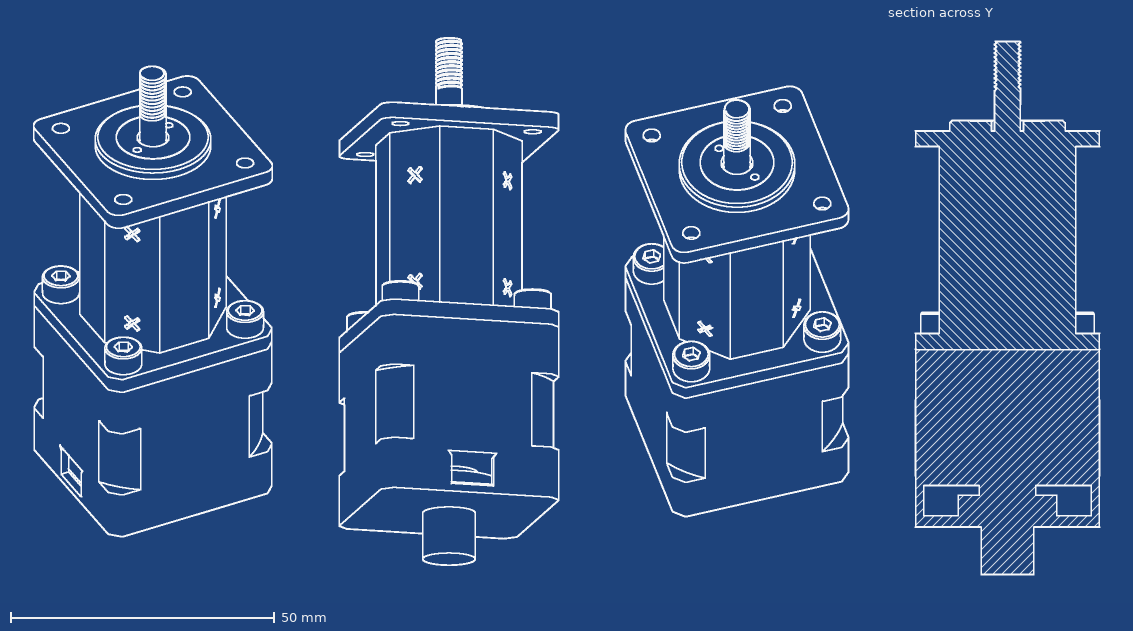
import cadquery as cq
import math

WIDTH = 35.0
REAR_BOSS_LENGTH = 9.0
MOTOR_TOP = 33.8
ADAPTER_TOP = MOTOR_TOP + 3.0
STAGE_SEAMS = (46.4, 59.5)
FLANGE_BOTTOM = 72.3
FLANGE_TOP = FLANGE_BOTTOM + 3.0
PILOT_TOP = FLANGE_TOP + 2.0
SHAFT_TOP = 92.3

CAP_CHAMFER = 2.0
CAP_EDGE_ROUND = 0.5
REAR_CAP_TOP = 9.8
FRONT_CAP_BOTTOM = 24.1
STATOR_BOTTOM = 7.9
STATOR_TOP = 26.2
STATOR_DIAMETER = 42.0
REAR_BOSS_DIAMETER = 10.0

WINDOW_WIDTH = 8.3
WINDOW_SILL = 1.5
WINDOW_FLARE_WIDTH = 9.5
WINDOW_FLARE_BOTTOM = 7.1
CAP_WALL = 1.6
CAVITY_FLOOR = 2.2
CAVITY_CORNER_RADIUS = 6.0
BEARING_HOUSING_DIAMETER = 18.8
BEARING_HOUSING_TOP = 6.1
BEARING_NECK_DIAMETER = 10.8

RING_WIDTH = 26.0
RING_CHAMFER = 7.75
RING_FACET_DISTANCE = (RING_WIDTH - RING_CHAMFER) / math.sqrt(2)
FLANGE_CORNER_RADIUS = 2.5
BOLT_SPACING = 26.0
BOLT_HOLE_DIAMETER = 3.2
PILOT_DIAMETER = 22.0
PILOT_CHAMFER = 0.5
RETAINER_DIAMETER = 14.0
RETAINER_RECESS = 0.1
SHAFT_BORE_DIAMETER = 6.0
SHAFT_BORE_DEPTH = 2.0
WRENCH_HOLE_DIAMETER = 1.5
WRENCH_HOLE_RADIUS = 5.0
WRENCH_HOLE_ANGLE = 116.0
WRENCH_HOLE_DEPTH = 2.0
WRENCH_HOLE_COUNT = 2

SHAFT_DIAMETER = 5.0
THREAD_PITCH = 0.8
THREAD_BOTTOM = 82.6
THREAD_DEPTH = 0.45
THREAD_GROOVE_WIDTH = 0.7
THREAD_OVERSHOOT = 0.05
THREAD_START_ANGLE = 200.0

CAP_SCREW_DIAMETER = 7.0
CAP_SCREW_HEIGHT = 4.0
CAP_SCREW_CHAMFER = 0.3
HEX_SIZE = 3.0
HEX_DEPTH = 2.0
DRILL_TIP_ANGLE = 120.0

CROSS_SCREW_HEIGHTS = (42.5, 63.4)
CROSS_SCREW_DIAMETER = 5.5
CROSS_SCREW_HEAD_DEPTH = 1.5
CROSS_LENGTH = 3.6
CROSS_SLOT_WIDTH = 0.7
CROSS_DEPTH = 1.0
CROSS_SLOT_ANGLES = (45, 135)
FACET_ANGLES = (45, 135, 225, 315)


def cylinder(diameter, bottom, top):
    return cq.Workplane("XY", origin=(0, 0, bottom)).circle(diameter / 2).extrude(top - bottom)


def square_prism(width, bottom, top):
    return cq.Workplane("XY", origin=(0, 0, bottom)).rect(width, width).extrude(top - bottom)


def cap_block(bottom, top):
    """Square block whose chamfered corners have softened edges."""
    block = square_prism(WIDTH, bottom, top).edges("|Z").chamfer(CAP_CHAMFER)
    return block.edges("|Z").fillet(CAP_EDGE_ROUND)


def join(parts):
    """Fuse parts into one solid, keeping the seam lines between flush faces."""
    joined = parts[0]
    for part in parts[1:]:
        joined = joined.union(part, clean=False)
    return joined


def connector_window():
    half = WINDOW_WIDTH / 2
    flare_half = WINDOW_FLARE_WIDTH / 2
    return (
        cq.Workplane("XZ", origin=(0, -WIDTH / 2, 0))
        .moveTo(-half, WINDOW_SILL)
        .lineTo(half, WINDOW_SILL)
        .lineTo(half, WINDOW_FLARE_BOTTOM)
        .lineTo(flare_half, STATOR_BOTTOM)
        .lineTo(-flare_half, STATOR_BOTTOM)
        .lineTo(-half, WINDOW_FLARE_BOTTOM)
        .close()
        .extrude(-CAP_WALL)
    )


def rear_cap_cavity():
    """Hollow of the rear cap, around the stepped rear bearing housing."""
    cavity = square_prism(WIDTH - 2 * CAP_WALL, CAVITY_FLOOR, STATOR_BOTTOM)
    cavity = cavity.edges("|Z").fillet(CAVITY_CORNER_RADIUS)
    cavity = cavity.cut(cylinder(BEARING_HOUSING_DIAMETER, CAVITY_FLOOR, BEARING_HOUSING_TOP))
    return cavity.cut(cylinder(BEARING_NECK_DIAMETER, BEARING_HOUSING_TOP, STATOR_BOTTOM))


def make_motor():
    rear_cap = cap_block(0, REAR_CAP_TOP)
    front_cap = cap_block(FRONT_CAP_BOTTOM, MOTOR_TOP)
    stator = square_prism(WIDTH, STATOR_BOTTOM, STATOR_TOP)
    stator = stator.intersect(cylinder(STATOR_DIAMETER, STATOR_BOTTOM, STATOR_TOP))
    rear_boss = cylinder(REAR_BOSS_DIAMETER, -REAR_BOSS_LENGTH, 0)
    rear_cap = rear_cap.cut(rear_cap_cavity()).cut(connector_window())
    rear_cap = rear_cap.cut(stator)
    front_cap = front_cap.cut(stator)
    return join([rear_cap, stator, front_cap, rear_boss])


def gearbox_ring(bottom, top):
    return square_prism(RING_WIDTH, bottom, top).edges("|Z").chamfer(RING_CHAMFER)


def output_flange():
    plate = square_prism(WIDTH, FLANGE_BOTTOM, FLANGE_TOP)
    plate = plate.edges("|Z").fillet(FLANGE_CORNER_RADIUS)
    pilot = cylinder(PILOT_DIAMETER, FLANGE_TOP, PILOT_TOP).faces(">Z").chamfer(PILOT_CHAMFER)
    flange = plate.union(pilot)
    flange = flange.cut(cylinder(RETAINER_DIAMETER, PILOT_TOP - RETAINER_RECESS, PILOT_TOP))
    flange = flange.cut(cylinder(SHAFT_BORE_DIAMETER, PILOT_TOP - SHAFT_BORE_DEPTH, PILOT_TOP))
    bolt_holes = (
        cq.Workplane("XY", origin=(0, 0, FLANGE_BOTTOM))
        .rect(BOLT_SPACING, BOLT_SPACING, forConstruction=True)
        .vertices()
        .circle(BOLT_HOLE_DIAMETER / 2)
        .extrude(FLANGE_TOP - FLANGE_BOTTOM)
    )
    wrench_holes = (
        cq.Workplane("XY", origin=(0, 0, PILOT_TOP - WRENCH_HOLE_DEPTH))
        .polarArray(WRENCH_HOLE_RADIUS, WRENCH_HOLE_ANGLE, 360, WRENCH_HOLE_COUNT)
        .circle(WRENCH_HOLE_DIAMETER / 2)
        .extrude(WRENCH_HOLE_DEPTH)
    )
    return flange.cut(bolt_holes).cut(wrench_holes)


def output_shaft():
    """Plain shaft with a helical V groove running out at its top end."""
    shaft = cylinder(SHAFT_DIAMETER, PILOT_TOP - SHAFT_BORE_DEPTH, SHAFT_TOP)
    radius = SHAFT_DIAMETER / 2
    start = THREAD_BOTTOM + THREAD_GROOVE_WIDTH / 2
    helix_height = SHAFT_TOP + THREAD_PITCH - start
    helix = cq.Wire.makeHelix(THREAD_PITCH, helix_height, radius, center=cq.Vector(0, 0, start))
    half_mouth = THREAD_GROOVE_WIDTH / 2 * (THREAD_DEPTH + THREAD_OVERSHOOT) / THREAD_DEPTH
    groove = (
        cq.Workplane("XZ")
        .moveTo(radius - THREAD_DEPTH, start)
        .lineTo(radius + THREAD_OVERSHOOT, start + half_mouth)
        .lineTo(radius + THREAD_OVERSHOOT, start - half_mouth)
        .close()
        .sweep(cq.Workplane(obj=helix), isFrenet=True)
        .rotate((0, 0, 0), (0, 0, 1), THREAD_START_ANGLE)
    )
    return shaft.cut(groove)


def cap_screw(x, y):
    """Socket head with a hexagon socket ending in a drill cone."""
    top = ADAPTER_TOP + CAP_SCREW_HEIGHT
    head = cylinder(CAP_SCREW_DIAMETER, ADAPTER_TOP, top).faces(">Z").chamfer(CAP_SCREW_CHAMFER)
    hex_circle = HEX_SIZE / math.cos(math.pi / 6)
    socket = cq.Workplane("XY", origin=(0, 0, top - HEX_DEPTH)).polygon(6, hex_circle).extrude(HEX_DEPTH)
    cone_radius = hex_circle / 2
    cone_height = cone_radius / math.tan(math.radians(DRILL_TIP_ANGLE / 2))
    cone = cq.Workplane(
        cq.Solid.makeCone(0, cone_radius, cone_height, pnt=cq.Vector(0, 0, top - HEX_DEPTH - cone_height))
    )
    return head.cut(socket).cut(cone).translate((x, y, 0))


def facet_plane(angle, height):
    """Plane on a slanting gearbox facet, facing outwards; its local Y is vertical."""
    direction = cq.Vector(math.cos(math.radians(angle)), math.sin(math.radians(angle)), 0)
    origin = direction * RING_FACET_DISTANCE + cq.Vector(0, 0, height)
    across = cq.Vector(0, 0, 1).cross(direction)
    return cq.Plane(origin=origin, xDir=across, normal=direction)


def cross_screw_pocket(plane):
    return cq.Workplane(plane).circle(CROSS_SCREW_DIAMETER / 2).extrude(-CROSS_SCREW_HEAD_DEPTH)


def cross_screw(plane):
    """Flush screw head with a cross recess turned by 45 degrees."""
    head = cross_screw_pocket(plane)
    for angle in CROSS_SLOT_ANGLES:
        slot = (
            cq.Workplane(plane)
            .transformed(rotate=(0, 0, angle))
            .rect(CROSS_LENGTH, CROSS_SLOT_WIDTH)
            .extrude(-CROSS_DEPTH)
        )
        head = head.cut(slot)
    return head


def make_gearbox():
    adapter = cap_block(MOTOR_TOP, ADAPTER_TOP)
    levels = (ADAPTER_TOP, *STAGE_SEAMS, FLANGE_BOTTOM)
    rings = [gearbox_ring(bottom, top) for bottom, top in zip(levels, levels[1:])]
    housing = join([adapter, *rings, output_flange(), output_shaft()])

    half = BOLT_SPACING / 2
    cap_screws = [cap_screw(x, y) for x in (-half, half) for y in (-half, half)]
    housing = join([housing, *cap_screws])

    for height in CROSS_SCREW_HEIGHTS:
        for angle in FACET_ANGLES:
            plane = facet_plane(angle, height)
            housing = housing.cut(cross_screw_pocket(plane), clean=False)
            housing = housing.union(cross_screw(plane), clean=False)
    return housing


motor = make_motor()
gearbox = make_gearbox()
result = cq.Compound.makeCompound([*motor.solids().vals(), *gearbox.solids().vals()])